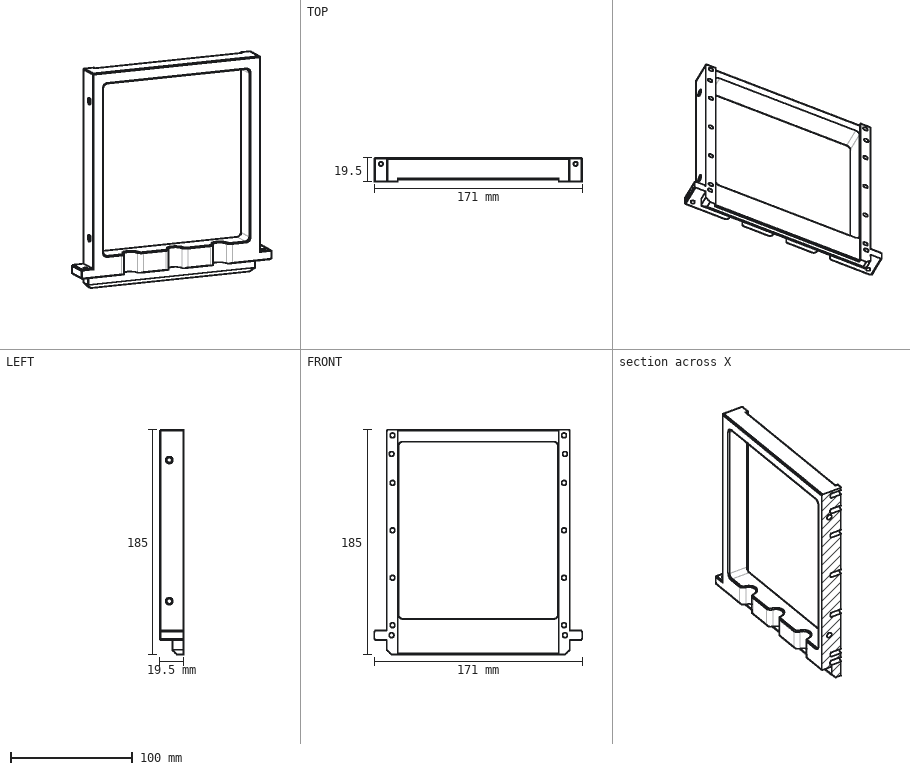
import cadquery as cq
import math

FRAME_WIDTH = 150.5
HEIGHT = 185.0
DEPTH = 19.5
EDGE_CHAMFER = 0.75
TOP_BACK_CHAMFER = 1.0

WINDOW_WIDTH = 131.0
WINDOW_BOTTOM = 29.5
WINDOW_TOP = 175.0
WINDOW_FILLET = 3.5
WINDOW_BACK_CHAMFER = 1.0

RECESS_WIDTH = 132.0
RECESS_DEPTH = 1.5
RECESS_CHAMFER = 1.0

LIP_HEIGHT = 12.0
LIP_DEPTH = 9.5
LIP_BEVEL = 4.0

TAB_SPAN = 171.0
TAB_HEIGHT = 8.0
TAB_CHAMFER = 1.0
TAB_HOLE_DIAMETER = 3.3
TAB_HOLE_X = 80.0
TAB_HOLE_Y = 14.5

FRONT_HOLE_DIAMETER = 4.0
FRONT_HOLE_DEPTH = 10.0
DRILL_TIP_ANGLE = 118.0
ROW_HOLE_X = 70.5
ROW_HOLE_FIRST_Z = 24.25
ROW_HOLE_PITCH = 39.0
ROW_HOLE_COUNT = 5
OUTER_HOLE_X = 71.25
OUTER_HOLE_HEIGHTS = (16.0, 165.0)

SIDE_HOLE_DIAMETER = 4.2
SIDE_HOLE_SINK_DIAMETER = 5.8
SIDE_HOLE_DEPTH = 8.0
SIDE_HOLE_Y = 11.8
SIDE_HOLE_HEIGHTS = (44.0, 160.0)

SCALLOP_PITCH = 40.0
SCALLOP_COUNT = 3
SCALLOP_RADIUS = 6.0
SCALLOP_INSET = 2.8
SCALLOP_CORNER_RADIUS = 4.0


def box(width, y_min, y_max, z_min, z_max):
    """Box centred on X = 0, given by its width and its Y and Z limits."""
    return (
        cq.Workplane("XY")
        .box(width, y_max - y_min, z_max - z_min, centered=(True, False, False))
        .translate((0, y_min, z_min))
    )


def frame_body():
    main = box(FRAME_WIDTH, 0, DEPTH, LIP_HEIGHT, HEIGHT)
    main = main.faces(">Z").edges(">Y").chamfer(TOP_BACK_CHAMFER)
    main = main.faces(">Y").edges("|Z or <Z").chamfer(EDGE_CHAMFER)
    main = main.faces(">Z").edges("|Y").chamfer(EDGE_CHAMFER)
    lip = box(FRAME_WIDTH, 0, LIP_DEPTH, 0, LIP_HEIGHT)
    lip = lip.faces("<Z").edges("|Y").chamfer(LIP_BEVEL)
    lip = lip.faces("<Z").edges(">Y").chamfer(LIP_BEVEL)
    lip = lip.faces(">Y").edges("|Z").chamfer(EDGE_CHAMFER)
    return main.union(lip)


def tabs():
    bar = box(TAB_SPAN, 0, DEPTH, LIP_HEIGHT, LIP_HEIGHT + TAB_HEIGHT)
    bar = bar.edges("|Y").chamfer(TAB_CHAMFER)
    bar = bar.faces(">Y").edges().chamfer(EDGE_CHAMFER)
    holes = (
        cq.Workplane("XY", origin=(0, TAB_HOLE_Y, LIP_HEIGHT))
        .pushPoints([(-TAB_HOLE_X, 0), (TAB_HOLE_X, 0)])
        .circle(TAB_HOLE_DIAMETER / 2)
        .extrude(TAB_HEIGHT)
    )
    return bar.cut(holes)


def window():
    opening = box(WINDOW_WIDTH, 0, DEPTH, WINDOW_BOTTOM, WINDOW_TOP)
    return opening.edges("|Y").fillet(WINDOW_FILLET)


def front_recess():
    """Recess profile in the YZ plane; it also bevels the long front edges of both bars."""
    bevel_depth = RECESS_DEPTH + RECESS_CHAMFER
    outline = [
        (0, 0),
        (bevel_depth, 0),
        (RECESS_DEPTH, RECESS_CHAMFER),
        (RECESS_DEPTH, HEIGHT - RECESS_CHAMFER),
        (bevel_depth, HEIGHT),
        (0, HEIGHT),
    ]
    return cq.Workplane("YZ").polyline(outline).close().extrude(RECESS_WIDTH / 2, both=True)


def front_hole(x, z):
    """Blind hole drilled along +Y with a conical tip."""
    radius = FRONT_HOLE_DIAMETER / 2
    tip = radius / math.tan(math.radians(DRILL_TIP_ANGLE / 2))
    return (
        cq.Workplane("XY")
        .polyline([(0, 0), (radius, 0), (radius, FRONT_HOLE_DEPTH), (0, FRONT_HOLE_DEPTH + tip)])
        .close()
        .revolve(360, (0, 0, 0), (0, 1, 0))
        .translate((x, 0, z))
    )


def side_hole(side, z):
    """Blind countersunk hole drilled inwards from the outer face on the given side (-1 or 1)."""
    radius = SIDE_HOLE_DIAMETER / 2
    sink_radius = SIDE_HOLE_SINK_DIAMETER / 2
    sink_depth = sink_radius - radius
    outer = FRAME_WIDTH / 2
    outline = [
        (outer, 0),
        (outer, sink_radius),
        (outer - sink_depth, radius),
        (outer - SIDE_HOLE_DEPTH, radius),
        (outer - SIDE_HOLE_DEPTH, 0),
    ]
    points = [(side * x, r) for x, r in outline]
    hole = cq.Workplane("XY").polyline(points).close().revolve(360, (0, 0, 0), (1, 0, 0))
    return hole.translate((0, SIDE_HOLE_Y, z))


def scallop(x):
    """Round-bottomed notch whose mouth corners are rounded into the flat back of the bar."""
    reach = SCALLOP_RADIUS + SCALLOP_CORNER_RADIUS
    corner_rise = SCALLOP_CORNER_RADIUS - SCALLOP_INSET
    half_mouth = math.sqrt(reach**2 - corner_rise**2)
    tangent_x = half_mouth * SCALLOP_RADIUS / reach
    tangent_y = -SCALLOP_INSET - corner_rise * SCALLOP_RADIUS / reach
    return (
        cq.Workplane("XY", origin=(x, DEPTH, 0))
        .moveTo(-half_mouth, 0)
        .radiusArc((-tangent_x, tangent_y), SCALLOP_CORNER_RADIUS)
        .threePointArc((0, -SCALLOP_INSET - SCALLOP_RADIUS), (tangent_x, tangent_y))
        .radiusArc((half_mouth, 0), SCALLOP_CORNER_RADIUS)
        .close()
        .extrude(WINDOW_BOTTOM)
    )


def bevel_window_back(frame):
    """Chamfer the back rim of the window, which follows the scallops along the bottom bar."""
    rim = cq.selectors.BoxSelector(
        (-WINDOW_WIDTH / 4, DEPTH / 2, WINDOW_BOTTOM - WINDOW_BACK_CHAMFER),
        (WINDOW_WIDTH / 4, DEPTH + WINDOW_BACK_CHAMFER, WINDOW_BOTTOM + WINDOW_BACK_CHAMFER),
    )
    return frame.edges(rim).edges("not |Z").chamfer(WINDOW_BACK_CHAMFER)


result = frame_body().union(tabs()).cut(window()).cut(front_recess())

for index in range(SCALLOP_COUNT):
    result = result.cut(scallop((index - (SCALLOP_COUNT - 1) / 2) * SCALLOP_PITCH))
result = bevel_window_back(result)

for side in (-1, 1):
    for index in range(ROW_HOLE_COUNT):
        result = result.cut(front_hole(side * ROW_HOLE_X, ROW_HOLE_FIRST_Z + index * ROW_HOLE_PITCH))
    for height in OUTER_HOLE_HEIGHTS:
        result = result.cut(front_hole(side * OUTER_HOLE_X, height))
    for height in SIDE_HOLE_HEIGHTS:
        result = result.cut(side_hole(side, height))